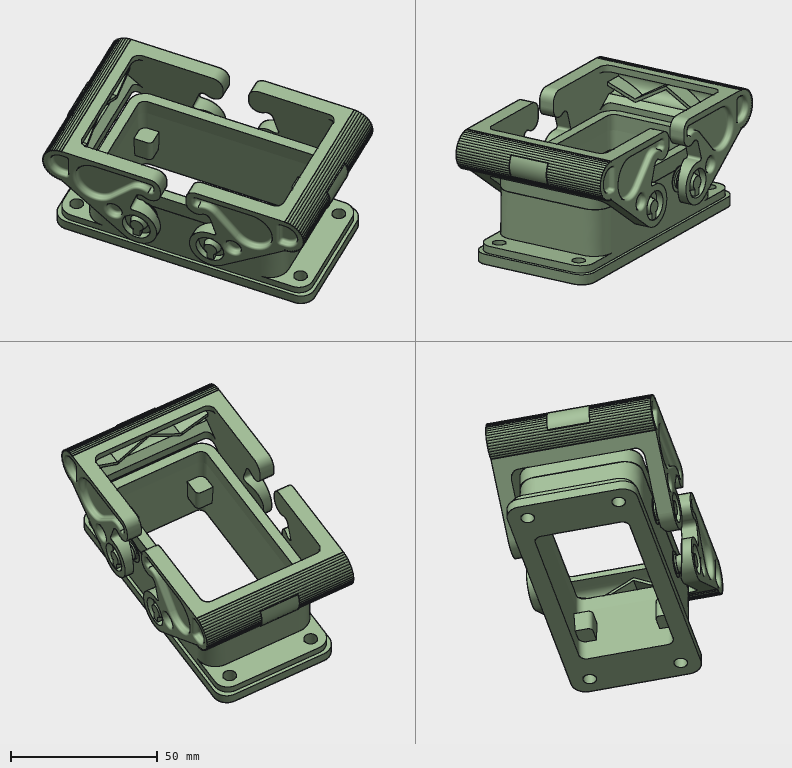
import cadquery as cq
import math

overall_length = 97.94
overall_width = 58.0
overall_height = 45.07

plate_length, plate_width, plate_top = 95.6, 45.7, 3.7
step_length, step_width, step_top = 93.1, 43.4, 6.35
flange_corner_radius = 5.2
body_length, body_corner_radius = 73.6, 7.0
collar_length, collar_width, collar_corner_radius = 72.8, 42.9, 5.8
body_top, collar_top = 23.3, 29.1
body_draft = 0.5

cavity_length, cavity_width, cavity_corner_radius = 65.7, 35.6, 2.6
cavity_floor_length, cavity_floor_width = 63.4, 33.2

post_inner_x, post_inner_y = 25.9, 11.1
post_bottom, post_top = 8.4, 16.5
post_corner_radius = 1.6

screw_hole_diameter = 4.6
screw_hole_x, screw_hole_y = 41.7, 16.0

pivot_x, pivot_z = 13.72, 20.0
hub_radius = 7.6
hub_relief = 2.3
left_lever_drop = 0.65
arm_inner_y = 23.45
bar_inner_x = 37.6
bar_opening_radius = 2.9
bar_wall = 2.4
hollow_lip_angle = -106.0

badge_height, badge_width, badge_rise = 0.3, 14.9, 7.8
grip_radius = 7.07
grip_x = overall_length / 2 - badge_height - grip_radius
grip_z = overall_height - grip_radius
ridge_count = 22
ridge_depth = 0.25

tip_x, tip_radius = 4.76, 3.9
tip_upper_z, tip_lower_z = overall_height - tip_radius, 39.05
notch_radius = 2.0
notch_direction = -56.4
notch_flank_normal = 18.5
notch_root_radius = 0.8

recess_depth = 2.5
recess_rim_radius = 0.8
recess_floor_radius = 0.9
palm_x, palm_z, palm_radius = 29.1, 34.78, 7.6
palm_tip_x, palm_tip_z, palm_tip_radius = 7.46, 38.6, 1.2
palm_neck_radius = 5.2
grip_recess_radius, grip_recess_flat_x, grip_recess_corner = 4.5, 39.2, 1.0
dimple_x, dimple_z, dimple_radius = 22.2, 24.0, 2.95
hub_recess_radius, hub_recess_depth = 5.15, 2.5

rib_front_x = 39.4
rib_height = 1.3
rib_valley_y = 12.4
rib_peak_z, rib_valley_z, rib_end_z = 41.2, 34.0, 38.0

pin_z = 19.4
pin_radius = 3.0
pin_foot_radius, pin_foot_y = 3.3, 22.4
pin_boss_radius, pin_boss_y = 4.6, 21.75
knob_base_radius, knob_top_radius, knob_height = 3.15, 2.4, 2.2
tab_width = 2.5


def polar(center, radius, degrees):
    """Point at the given radius and angle from a centre."""
    angle = math.radians(degrees)
    return (center[0] + radius * math.cos(angle), center[1] + radius * math.sin(angle))


def xz_plane(y):
    """Plane facing -Y at the given Y, with its axes along +X and +Z."""
    return cq.Workplane("XZ", origin=(0, y, 0))


def rounded_block(length, width, radius, bottom, top):
    """Upright block with rounded vertical corners, centred on the Z axis."""
    block = cq.Workplane("XY").workplane(offset=bottom).rect(length, width).extrude(top - bottom)
    return block.edges("|Z").fillet(radius)


def drafted_block(length, width, radius, top):
    """Block standing on the plate, its sides leaning inward by the body draft."""
    outline = cq.Sketch().rect(length, width).vertices().fillet(radius)
    start = cq.Workplane("XY").workplane(offset=plate_top)
    return start.placeSketch(outline).extrude(top - plate_top, taper=body_draft)


def make_base():
    plate = rounded_block(plate_length, plate_width, flange_corner_radius, 0, plate_top)
    step = drafted_block(step_length, step_width, flange_corner_radius, step_top)
    body = drafted_block(body_length, step_width, body_corner_radius, body_top)
    collar = rounded_block(collar_length, collar_width, collar_corner_radius, body_top, collar_top)
    return plate.union(step).union(body).union(collar).clean()


def make_cavity():
    upper = rounded_block(cavity_length, cavity_width, cavity_corner_radius, body_top, collar_top)
    floor = cq.Sketch().rect(cavity_floor_length, cavity_floor_width).vertices().fillet(cavity_corner_radius)
    mouth = cq.Sketch().rect(cavity_length, cavity_width).vertices().fillet(cavity_corner_radius)
    mouth = mouth.moved(cq.Location(cq.Vector(0, 0, body_top)))
    lower = cq.Workplane("XY").placeSketch(floor, mouth).loft()
    return upper.union(lower)


def make_posts():
    length = cavity_length / 2 - post_inner_x
    width = cavity_width / 2 - post_inner_y
    post = (
        cq.Workplane("XY")
        .box(length, width, post_top - post_bottom, centered=False)
        .edges("|Z and <X and <Y").fillet(post_corner_radius)
        .translate((post_inner_x, post_inner_y, post_bottom))
    )
    pair = post.union(post.mirror("YZ"))
    return pair.union(pair.mirror("XZ"))


def make_screw_holes():
    return (
        cq.Workplane("XY")
        .rect(2 * screw_hole_x, 2 * screw_hole_y, forConstruction=True).vertices()
        .circle(screw_hole_diameter / 2).extrude(step_top)
    )


pivot = (pivot_x, pivot_z)
grip = (grip_x, grip_z)
tip_upper = (tip_x + tip_radius, tip_upper_z)
tip_lower = (tip_x + tip_radius, tip_lower_z)
notch = polar(tip_lower, tip_radius + notch_radius, notch_direction)
grip_bottom = (grip_x, grip_z - grip_radius)
edge_angle = math.degrees(
    math.atan2(grip_bottom[1] - pivot_z, grip_x - pivot_x)
    + math.asin(hub_radius / math.hypot(grip_x - pivot_x, grip_bottom[1] - pivot_z))
)


def make_lever_blank():
    """Full-width lever profile with the ridged grip at its outer end."""
    flank_start = polar(notch, notch_radius, notch_flank_normal)
    hub_top_z = pivot_z + hub_radius
    flank_drop = flank_start[1] - hub_top_z
    flank_end = (flank_start[0] + flank_drop * math.tan(math.radians(notch_flank_normal)), hub_top_z)
    outline = (
        xz_plane(overall_width / 2)
        .moveTo(grip_x, overall_height)
        .lineTo(tip_upper[0], overall_height)
        .threePointArc(polar(tip_upper, tip_radius, 135), polar(tip_upper, tip_radius, 180))
        .lineTo(tip_x, tip_lower_z)
        .threePointArc(polar(tip_lower, tip_radius, 240), polar(tip_lower, tip_radius, notch_direction))
        .threePointArc(polar(notch, notch_radius, 80), flank_start)
        .lineTo(*flank_end)
        .lineTo(pivot_x, hub_top_z)
        .threePointArc(polar(pivot, hub_radius, 190), polar(pivot, hub_radius, edge_angle - 90))
        .lineTo(*grip_bottom)
        .lineTo(*polar(grip, grip_radius - ridge_depth, -90))
    )
    ridge_pitch = 180 / ridge_count
    for ridge in range(ridge_count):
        start = -90 + ridge * ridge_pitch
        outline = outline.threePointArc(
            polar(grip, grip_radius, start + ridge_pitch / 2),
            polar(grip, grip_radius - ridge_depth, start + ridge_pitch),
        )
    blank = outline.close().extrude(overall_width)
    root = cq.selectors.NearestToPointSelector((flank_end[0], 0, flank_end[1]))
    return blank.edges("|Y").edges(root).fillet(notch_root_radius)


def make_bar_opening():
    return (
        cq.Workplane("XY")
        .box(2 * bar_inner_x, 2 * arm_inner_y, overall_height, centered=(True, True, False))
        .edges("|Z").fillet(bar_opening_radius)
    )


def make_grip_hollow():
    """Round space inside the grip, opening over a sloping floor toward the housing."""
    radius = grip_radius - bar_wall
    lip = polar(grip, radius, hollow_lip_angle)
    floor_slope = math.tan(math.radians(edge_angle))
    return (
        xz_plane(arm_inner_y)
        .moveTo(0, grip_z + radius)
        .lineTo(grip_x, grip_z + radius)
        .threePointArc(polar(grip, radius, 0), lip)
        .lineTo(0, lip[1] - lip[0] * floor_slope)
        .close()
        .extrude(2 * arm_inner_y)
    )


def make_ribs(hollow):
    """Zigzag plate between the two arms, fitted to the hollow."""
    half = [(0, rib_peak_z), (rib_valley_y, rib_valley_z), (arm_inner_y, rib_end_z)]
    upper = [(-y, z) for y, z in reversed(half)] + half[1:]
    lower = [(y, z - rib_height) for y, z in reversed(upper)]
    ribs = cq.Workplane("YZ", origin=(rib_front_x, 0, 0)).polyline(upper + lower).close()
    return ribs.extrude(grip_x - rib_front_x + grip_radius).intersect(hollow)


def make_palm_outline(plane):
    """Large teardrop whose narrow end runs into the lever tip."""
    palm = (palm_x, palm_z)
    gap = math.hypot(palm_x - notch[0], palm_z - notch[1])
    bearing = math.degrees(math.atan2(palm_z - notch[1], palm_x - notch[0]))
    turn = math.degrees(math.acos((palm_radius + palm_neck_radius) / gap))
    neck_angle = bearing + turn
    neck_rise = palm_tip_z - notch[1]
    neck_end = (notch[0] - math.sqrt(palm_neck_radius ** 2 - neck_rise ** 2), palm_tip_z)
    palm_top = palm_z + palm_radius
    return (
        plane
        .moveTo(palm_x, palm_top)
        .lineTo(palm_tip_x, palm_top)
        .lineTo(palm_tip_x, palm_tip_z)
        .lineTo(*neck_end)
        .threePointArc(polar(notch, palm_neck_radius, 90), polar(notch, palm_neck_radius, neck_angle))
        .lineTo(*polar(palm, palm_radius, neck_angle + 180))
        .threePointArc(polar(palm, palm_radius, -20), (palm_x, palm_top))
        .close()
    )


def make_side_recesses():
    """Recesses sunk in the -Y side of the right lever, with rounded floors."""
    plane = xz_plane(-overall_width / 2)
    palm = make_palm_outline(plane).extrude(-recess_depth)
    palm = palm.edges("|Y").edges("<X").fillet(palm_tip_radius)
    grip_recess = (
        plane
        .moveTo(grip_x, grip_z + grip_recess_radius)
        .lineTo(grip_recess_flat_x, grip_z + grip_recess_radius)
        .lineTo(grip_recess_flat_x, grip_z - grip_recess_radius)
        .lineTo(grip_x, grip_z - grip_recess_radius)
        .threePointArc(polar(grip, grip_recess_radius, 0), (grip_x, grip_z + grip_recess_radius))
        .close().extrude(-recess_depth)
        .edges("|Y and <X").fillet(grip_recess_corner)
    )
    dimple = plane.center(dimple_x, dimple_z).circle(dimple_radius).extrude(-recess_depth)
    return [r.faces(">Y").edges().fillet(recess_floor_radius) for r in (palm, grip_recess, dimple)]


def make_hub_relief():
    """Wedge that thins the hub of the -Y arm from its inner face toward the free end."""
    free_end_x = pivot_x - hub_radius
    return (
        cq.Workplane("XY").workplane(offset=pivot_z - hub_radius)
        .moveTo(pivot_x, -arm_inner_y)
        .lineTo(free_end_x, -arm_inner_y - hub_relief)
        .lineTo(free_end_x, -arm_inner_y)
        .close().extrude(2 * hub_radius)
    )


def make_badge():
    """Plain raised pad on the outside of the grip."""
    ring = xz_plane(badge_width / 2).center(*grip).circle(grip_radius + badge_height)
    ring = ring.circle(grip_radius - bar_wall / 2).extrude(badge_width)
    window = cq.Workplane("XY").box(overall_length / 2, badge_width, badge_rise, centered=(False, True, True))
    return ring.intersect(window.translate((grip_x, 0, grip_z)))


def make_lever():
    """Right-hand lever, symmetric about the XZ plane."""
    hollow = make_grip_hollow()
    lever = make_lever_blank().cut(make_bar_opening()).cut(hollow)
    for recess in make_side_recesses():
        lever = lever.cut(recess).cut(recess.mirror("XZ"))
    for side in ("<Y", ">Y"):
        rims = lever.faces(side).wires().vals()
        outer = max(rims, key=lambda wire: wire.BoundingBox().DiagonalLength)
        edges = [edge for wire in rims if not wire.isSame(outer) for edge in wire.Edges()]
        lever = lever.newObject(edges).fillet(recess_rim_radius)
    lever = lever.union(make_ribs(hollow)).union(make_badge())
    relief = make_hub_relief()
    lever = lever.cut(relief).cut(relief.mirror("XZ"))
    for side in (-1, 1):
        plane = xz_plane(side * overall_width / 2).center(*pivot)
        lever = lever.cut(plane.circle(hub_recess_radius).extrude(side * hub_recess_depth))
    return lever


def make_pin():
    """Pin on the -Y side: low boss, stepped shaft, then a tapered knob with a tab in the hub recess."""
    recess_floor_y = -(overall_width / 2 - hub_recess_depth)
    center = (pivot_x, pin_z)
    shaft = xz_plane(0).center(*center).circle(pin_radius).extrude(-recess_floor_y)
    foot = xz_plane(0).center(*center).circle(pin_foot_radius).extrude(pin_foot_y)
    boss = xz_plane(0).center(*center).circle(pin_boss_radius).extrude(pin_boss_y)
    taper = math.degrees(math.atan((knob_base_radius - knob_top_radius) / knob_height))
    knob_plane = xz_plane(recess_floor_y).center(*center)
    knob = knob_plane.circle(knob_base_radius).extrude(knob_height, taper=taper)
    tab = (
        xz_plane(recess_floor_y).center(pivot_x, pivot_z - hub_recess_radius / 2)
        .rect(tab_width, hub_recess_radius).extrude(knob_height)
    )
    return shaft.union(foot).union(boss).union(knob).union(tab)


lever = make_lever()
left_lever = lever.mirror("YZ").translate((0, 0, -left_lever_drop))
pin = make_pin()
pin_pair = pin.union(pin.mirror("YZ"))

result = (
    make_base()
    .union(pin_pair).union(pin_pair.mirror("XZ"))
    .cut(make_cavity())
    .union(make_posts())
    .cut(make_screw_holes())
    .union(lever).union(left_lever)
)